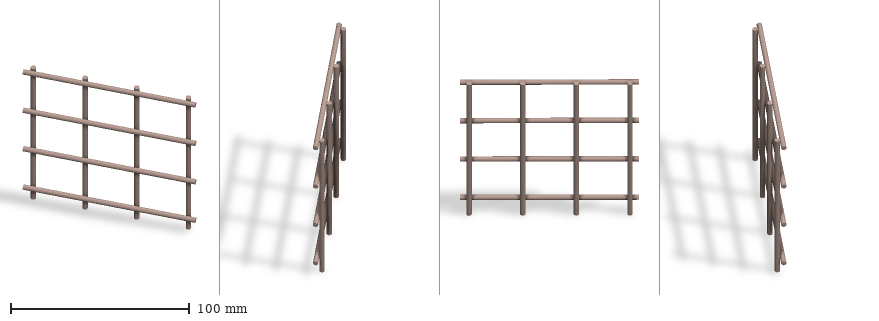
import cadquery as cq

width = 100.0
height = 102.0
depth = 6.0

wire_count = 4
wire_pitch = 30.0
bottom_overhang = 10.0

wire_radius = depth / 4
side_overhang = (width - (wire_count - 1) * wire_pitch) / 2


def horizontal_wire(z):
    """Round wire along X in the front layer (-Y), touching the plane Y = 0."""
    return (
        cq.Workplane("YZ")
        .center(-wire_radius, z)
        .circle(wire_radius)
        .extrude(width)
    )


def vertical_wire(x):
    """Round wire along Z in the back layer (+Y), touching the plane Y = 0."""
    return (
        cq.Workplane("XY")
        .center(x, wire_radius)
        .circle(wire_radius)
        .extrude(height)
    )


horizontal_wires = [
    horizontal_wire(bottom_overhang + i * wire_pitch) for i in range(wire_count)
]
vertical_wires = [
    vertical_wire(side_overhang + i * wire_pitch) for i in range(wire_count)
]

result = cq.Compound.makeCompound(
    [wire.val() for wire in horizontal_wires + vertical_wires]
)